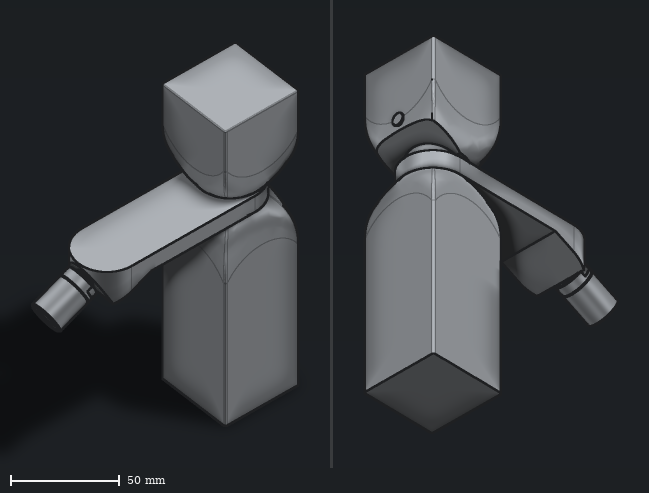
import cadquery as cq
import math

TILT = math.radians(25)

HALF_WIDTH = 22.5
CORNER_RADIUS = 1.3
TOTAL_HEIGHT = 180.3

SHOULDER_RADIUS = 17.5
SHOULDER_SIDE_RISE = 16.4
SHOULDER_CORNER_RISE = 28.1
SHOULDER_FULLNESS = 0.65
SIDE_BLEND_ANGLE = 44
BLEND_STEPS = 16
BLEND_TOLERANCE = 1e-4
SEW_TOLERANCE = 5e-3

SPOUT_BOTTOM = 115.2
SPOUT_THICKNESS = 10.0
SPOUT_TOP = SPOUT_BOTTOM + SPOUT_THICKNESS
SPOUT_RADIUS = SHOULDER_RADIUS
SPOUT_REACH = 75.0
TIP_LOW_Y = -84.0
TIP_LOW_Z = 105.3

BALL_RADIUS = 15.1
BALL_CENTER_Z = 124.4

HANDLE_GAP = 2.2
HANDLE_BOTTOM = SPOUT_TOP + HANDLE_GAP
HANDLE_TOP_ROUND = 0.5
MARK_RADIUS = 3.2
MARK_CENTER_Z = 143.3
MARK_PROUD = 0.7

STEM_RADIUS = 5.0
STEM_LENGTH = 1.6
AERATOR_RADIUS = 9
AERATOR_LENGTH = 25.0
COLLAR_LENGTH = 5.8
COLLAR_BEVEL = 0.5
GROOVE_WIDTH = 0.4
GROOVE_DEPTH = 0.4
FLAT_LENGTH = 3.8
FLAT_DEPTH = 0.5
OUTLET_BEVEL = 0.5
OUTLET_RADIUS = 6.1
OUTLET_MOUTH_RADIUS = 7.4
OUTLET_DEPTH = 0.9
AERATOR_SEAT = 9.5


def rounded_over(start, end, t):
    """Point on the parabola that leaves `start` straight upward and reaches `end` at t = 1."""
    control = start + cq.Vector(0, 0, SHOULDER_FULLNESS * (end.z - start.z))
    return start * (1 - t) ** 2 + control * (2 * t * (1 - t)) + end * t**2


def blend_face(lower_edge, top_z, first_angle, last_angle):
    """Smooth face from an edge of the column to part of the end circle."""
    rows = []
    for i in range(BLEND_STEPS + 1):
        across = i / BLEND_STEPS
        start = lower_edge.positionAt(across)
        angle = math.radians(first_angle + across * (last_angle - first_angle))
        end = cq.Vector(SHOULDER_RADIUS * math.cos(angle), SHOULDER_RADIUS * math.sin(angle), top_z)
        rows.append([rounded_over(start, end, j / BLEND_STEPS) for j in range(BLEND_STEPS + 1)])
    return cq.Face.makeSplineApprox(rows, tol=BLEND_TOLERANCE)


def shouldered_column(height):
    """Square column on z = 0 whose upper end rounds over into a circle."""
    flat = HALF_WIDTH - CORNER_RADIUS
    corner_z = height - SHOULDER_CORNER_RISE
    side_z = height - SHOULDER_SIDE_RISE

    low_right = cq.Vector(HALF_WIDTH, -flat, 0)
    low_left = cq.Vector(HALF_WIDTH, flat, 0)
    high_right = cq.Vector(HALF_WIDTH, -flat, corner_z)
    high_left = cq.Vector(HALF_WIDTH, flat, corner_z)
    crest = cq.Vector(HALF_WIDTH, 0, side_z)
    low_side = cq.Edge.makeLine(low_right, low_left)
    high_side = cq.Edge.makeThreePointArc(high_right, crest, high_left)
    side_outline = [
        low_side,
        cq.Edge.makeLine(low_left, high_left),
        high_side,
        cq.Edge.makeLine(high_right, low_right),
    ]
    side_wall = cq.Face.makeFromWires(cq.Wire.assembleEdges(side_outline))
    side_blend = blend_face(high_side, height, -SIDE_BLEND_ANGLE, SIDE_BLEND_ANGLE)

    low_corner = cq.Edge.makeCircle(CORNER_RADIUS, cq.Vector(flat, flat, 0), angle1=0, angle2=90)
    high_corner = low_corner.translate(cq.Vector(0, 0, corner_z))
    corner_wall = cq.Face.makeRuledSurface(low_corner, high_corner)
    corner_blend = blend_face(high_corner, height, SIDE_BLEND_ANGLE, 90 - SIDE_BLEND_ANGLE)

    faces = []
    floor_outline = []
    for quarter in range(4):
        turn = (cq.Vector(0, 0, 0), cq.Vector(0, 0, 1), 90 * quarter)
        for face in (side_wall, side_blend, corner_wall, corner_blend):
            faces.append(face.rotate(*turn))
        floor_outline += [low_side.rotate(*turn), low_corner.rotate(*turn)]
    faces.append(cq.Face.makeFromWires(cq.Wire.assembleEdges(floor_outline)))

    end_circle = cq.Wire.makeCircle(SHOULDER_RADIUS, cq.Vector(0, 0, height), cq.Vector(0, 0, 1))
    faces.append(cq.Face.makeFromWires(end_circle))
    skin = cq.occ_impl.shapes.shell(*faces, tol=SEW_TOLERANCE)
    return cq.Workplane(cq.Solid.makeSolid(skin))


def make_base():
    """Body: the column that the spout rests on."""
    return shouldered_column(SPOUT_BOTTOM)


def make_ball():
    """Ball shared by the spout's dome and the handle's socket."""
    return cq.Workplane().sphere(BALL_RADIUS).translate((0, 0, BALL_CENTER_Z))


def make_spout():
    """Body: the round-ended bar with a thick tip and the dome above the base."""
    tip_rise = SPOUT_TOP - TIP_LOW_Z
    bend_y = TIP_LOW_Y + (SPOUT_BOTTOM - TIP_LOW_Z) / math.tan(TILT)
    tip_top_y = TIP_LOW_Y - tip_rise * math.tan(TILT)
    side_profile = (
        cq.Workplane("YZ")
        .moveTo(SPOUT_RADIUS, SPOUT_TOP)
        .lineTo(tip_top_y, SPOUT_TOP)
        .lineTo(TIP_LOW_Y, TIP_LOW_Z)
        .lineTo(bend_y, SPOUT_BOTTOM)
        .lineTo(SPOUT_RADIUS, SPOUT_BOTTOM)
        .close()
        .extrude(SPOUT_RADIUS, both=True)
    )
    round_ended_bar = (
        cq.Workplane(origin=(0, -SPOUT_REACH / 2, TIP_LOW_Z))
        .slot2D(SPOUT_REACH + 2 * SPOUT_RADIUS, 2 * SPOUT_RADIUS, 90)
        .extrude(tip_rise)
    )
    above_bar_middle = (
        cq.Workplane(origin=(0, 0, SPOUT_BOTTOM + SPOUT_THICKNESS / 2))
        .circle(SPOUT_RADIUS)
        .extrude(2 * BALL_RADIUS)
    )
    dome = make_ball().intersect(above_bar_middle)
    return round_ended_bar.intersect(side_profile).union(dome)


def make_handle():
    """Body: an upside-down column with a sloped rear underside and a ball socket."""
    handle = (
        shouldered_column(TOTAL_HEIGHT - HANDLE_BOTTOM)
        .rotate((0, 0, 0), (1, 0, 0), 180)
        .translate((0, 0, TOTAL_HEIGHT))
    )
    handle = handle.faces(">Z").edges().fillet(HANDLE_TOP_ROUND)

    mark = (
        cq.Workplane("XZ", origin=(0, HALF_WIDTH + MARK_PROUD, MARK_CENTER_Z))
        .circle(MARK_RADIUS)
        .extrude(MARK_RADIUS)
    )

    wedge_length = 2 * HALF_WIDTH
    wedge = (
        cq.Workplane("YZ")
        .moveTo(0, HANDLE_BOTTOM)
        .lineTo(wedge_length, HANDLE_BOTTOM + wedge_length * math.tan(TILT))
        .lineTo(wedge_length, HANDLE_BOTTOM)
        .close()
        .extrude(HALF_WIDTH, both=True)
    )
    return handle.union(mark).cut(wedge).cut(make_ball())


def make_aerator():
    """Body: a turned nozzle with two flats, standing square on the spout's tip face."""
    collar_end = STEM_LENGTH + COLLAR_LENGTH
    groove_end = collar_end + GROOVE_WIDTH
    groove_radius = AERATOR_RADIUS - GROOVE_DEPTH
    front = STEM_LENGTH + AERATOR_LENGTH
    aerator = (
        cq.Workplane("XZ")
        .lineTo(STEM_RADIUS, 0)
        .lineTo(STEM_RADIUS, STEM_LENGTH)
        .lineTo(AERATOR_RADIUS - COLLAR_BEVEL, STEM_LENGTH)
        .lineTo(AERATOR_RADIUS, STEM_LENGTH + COLLAR_BEVEL)
        .lineTo(AERATOR_RADIUS, collar_end)
        .lineTo(groove_radius, collar_end)
        .lineTo(groove_radius, groove_end)
        .lineTo(AERATOR_RADIUS, groove_end)
        .lineTo(AERATOR_RADIUS, front - OUTLET_BEVEL)
        .lineTo(AERATOR_RADIUS - OUTLET_BEVEL, front)
        .lineTo(OUTLET_MOUTH_RADIUS, front)
        .lineTo(OUTLET_RADIUS, front - OUTLET_DEPTH)
        .lineTo(0, front - OUTLET_DEPTH)
        .close()
        .revolve(360, (0, 0, 0), (0, 1, 0))
    )

    flat_cutter = (
        cq.Workplane(origin=(1.5 * AERATOR_RADIUS - FLAT_DEPTH, 0, STEM_LENGTH))
        .rect(AERATOR_RADIUS, 2 * AERATOR_RADIUS)
        .extrude(FLAT_LENGTH)
    )
    aerator = aerator.cut(flat_cutter).cut(flat_cutter.mirror("YZ"))

    seat_y = TIP_LOW_Y - AERATOR_SEAT * math.sin(TILT)
    seat_z = TIP_LOW_Z + AERATOR_SEAT * math.cos(TILT)
    outward = (0, -math.cos(TILT), -math.sin(TILT))
    seat = cq.Plane((0, seat_y, seat_z), xDir=(1, 0, 0), normal=outward)
    return cq.Workplane(aerator.val().moved(cq.Location(seat)))


base = make_base()
spout = make_spout()
handle = make_handle()
aerator = make_aerator()
result = cq.Compound.makeCompound([base.val(), spout.val(), handle.val(), aerator.val()])